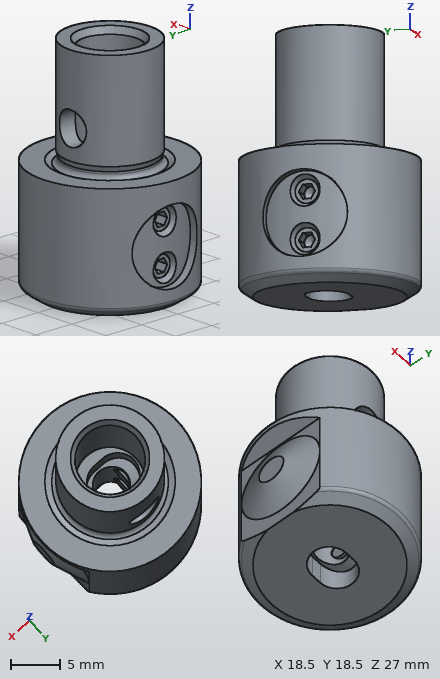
import cadquery as cq
import math

collar_radius = 9.25
collar_height = 14.0
stem_radius = 5.5
total_height = 27.0
bottom_radius = 7.8
bevel_height = 0.94
bottom_blend_radius = 0.55

neck_radius = 5.3
taper_top = collar_height + 1.1
taper_bottom = collar_height + 0.5
cove_radius = 0.6
undercut_floor = collar_height - 0.33
undercut_outer_radius = 6.6

stem_bore_radius = 3.55
stem_bore_mouth_radius = 4.0
stem_bore_mouth_depth = 0.8
stem_bore_floor = collar_height
slot_width = 4.5
slot_left = -3.3
slot_right = 2.4
cross_hole_radius = 2.0
cross_hole_z = 18.6

pin_radius = 4.5
pin_z = collar_height / 2
pin_end_setback = 1.0
pin_end_x = pin_end_setback - collar_radius
tool_hole_radius = 1.9
tool_hole_x = -0.2

screw_radius = 1.25
screw_spacing = 5.0
screw_tip_x = -1.75
countersink_radius = 1.65
countersink_depth = 0.7
screw_head_x = pin_end_x + countersink_depth
socket_width = 1.5
socket_depth = 1.5
socket_point_angle = 118.0
screw_heights = [pin_z + side * screw_spacing / 2 for side in (-1, 1)]

flat_x = 7.6
flat_top = 12.4
flat_slope_angle = 30.0
head_base_radius = 5.25
head_top_radius = 1.65
head_top_x = 9.05


def x_cylinder(radius, x_start, x_end, z):
    """Cylinder along X between two X positions, at height z."""
    return cq.Workplane("YZ", origin=(x_start, 0, z)).circle(radius).extrude(x_end - x_start)


def x_cone(start_radius, end_radius, x_start, length, z):
    """Cone along X that starts at x_start, at height z."""
    return cq.Workplane(cq.Solid.makeCone(
        start_radius,
        end_radius,
        length,
        cq.Vector(x_start, 0, z),
        cq.Vector(1, 0, 0),
    ))


def make_turned_blank():
    """Collar and stem in one revolved profile, with the undercut between them."""
    cove_start_z = undercut_floor + cove_radius
    cove_middle = cove_radius * (1 - math.sqrt(0.5))
    blank = (
        cq.Workplane("XZ")
        .moveTo(0, 0)
        .lineTo(bottom_radius, 0)
        .lineTo(collar_radius, bevel_height)
        .lineTo(collar_radius, collar_height)
        .lineTo(undercut_outer_radius, collar_height)
        .lineTo(neck_radius + cove_radius, undercut_floor)
        .threePointArc(
            (neck_radius + cove_middle, undercut_floor + cove_middle),
            (neck_radius, cove_start_z),
        )
        .lineTo(neck_radius, taper_bottom)
        .lineTo(stem_radius, taper_top)
        .lineTo(stem_radius, total_height)
        .lineTo(0, total_height)
        .close()
        .revolve(360, (0, 0), (0, 1))
    )
    bevel_edge = cq.selectors.NearestToPointSelector((0, 0, bevel_height))
    return blank.edges("%CIRCLE").edges(bevel_edge).fillet(bottom_blend_radius)


def make_bore():
    """Stem bore with a bevelled mouth, the slot below it and the cross hole on the +Y side."""
    stem_bore = (
        cq.Workplane("XZ")
        .polyline([
            (0, stem_bore_floor),
            (stem_bore_radius, stem_bore_floor),
            (stem_bore_radius, total_height - stem_bore_mouth_depth),
            (stem_bore_mouth_radius, total_height),
            (0, total_height),
        ])
        .close()
        .revolve(360, (0, 0), (0, 1))
    )
    slot = (
        cq.Workplane("XY")
        .center((slot_left + slot_right) / 2, 0)
        .slot2D(slot_right - slot_left, slot_width)
        .extrude(stem_bore_floor)
    )
    cross_hole = (
        cq.Workplane("XZ", origin=(0, 0, cross_hole_z))
        .circle(cross_hole_radius)
        .extrude(-stem_radius)
    )
    return stem_bore.union(slot).union(cross_hole)


def make_flat_cut():
    """Flat on the +X side, open at the bottom, below a sloping lip."""
    lip_rise = (collar_radius - flat_x) * math.tan(math.radians(flat_slope_angle))
    return (
        cq.Workplane("XZ")
        .polyline([
            (flat_x, 0),
            (collar_radius, 0),
            (collar_radius, flat_top + lip_rise),
            (flat_x, flat_top),
        ])
        .close()
        .extrude(collar_radius, both=True)
    )


def make_holder():
    """Collar and stem with all their openings."""
    pin_hole = x_cylinder(pin_radius, -collar_radius, collar_radius, pin_z)
    return make_turned_blank().cut(make_flat_cut()).cut(make_bore()).cut(pin_hole)


def make_screw_hole(z):
    """Countersunk screw hole from the pin end into the tool hole."""
    countersink = x_cone(countersink_radius, screw_radius, pin_end_x, countersink_depth, z)
    return x_cylinder(screw_radius, pin_end_x, tool_hole_x, z).union(countersink)


def make_pin():
    """Pin with a conical head, a vertical tool hole and an end rounded like the collar."""
    end_shape = (
        cq.Workplane("XY")
        .center(pin_end_setback, 0)
        .circle(collar_radius)
        .extrude(collar_height)
    )
    shank = x_cylinder(pin_radius, pin_end_x, flat_x, pin_z).intersect(end_shape)
    head = x_cone(head_base_radius, head_top_radius, flat_x, head_top_x - flat_x, pin_z)
    tool_hole = cq.Workplane("XY").center(tool_hole_x, 0).circle(tool_hole_radius).extrude(collar_height)
    pin = shank.union(head).cut(tool_hole)
    for z in screw_heights:
        pin = pin.cut(make_screw_hole(z))
    return pin


def make_set_screw(z):
    """Blunt set screw along X with a hexagon socket that ends in a drill point."""
    socket_corner_width = socket_width / math.cos(math.radians(30))
    socket = (
        cq.Workplane("YZ", origin=(screw_head_x, 0, z))
        .polygon(6, socket_corner_width)
        .extrude(socket_depth)
    )
    point_length = socket_width / 2 / math.tan(math.radians(socket_point_angle / 2))
    drill_point = x_cone(socket_width / 2, 0, screw_head_x + socket_depth, point_length, z)
    screw = x_cylinder(screw_radius, screw_head_x, screw_tip_x, z)
    return screw.cut(socket).cut(drill_point)


holder = make_holder()
pin = make_pin()
set_screws = [make_set_screw(z) for z in screw_heights]

result = cq.Compound.makeCompound([
    holder.val(),
    pin.val(),
    *[screw.val() for screw in set_screws],
])